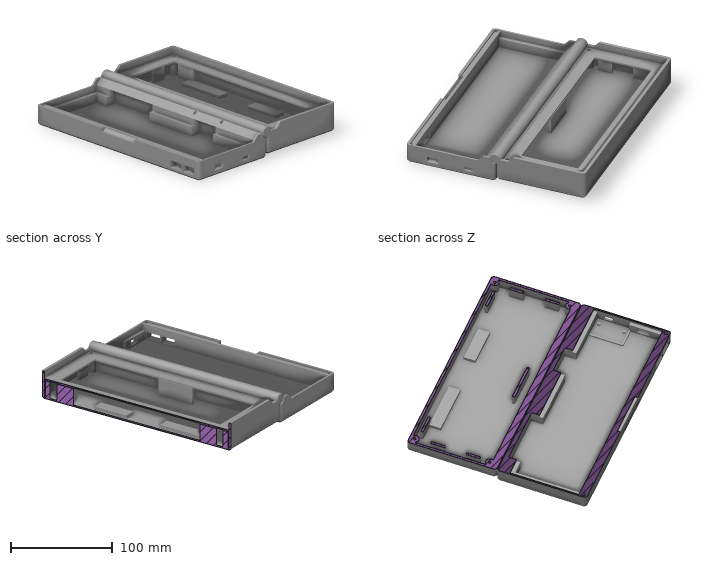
import cadquery as cq

case_width = 225.91
half_depth = 95.0
hinge_gap = 0.22
corner_radius = 3.5
bottom_chamfer = 2.0
half_width = case_width / 2
far_edge = hinge_gap + half_depth

hinge_radius = 6.0
step_height = 6.2
lid_top = hinge_radius
lid_bottom = -23.7
lid_floor = lid_bottom + 2.0
base_top = -step_height
base_bottom = -26.71
base_floor = base_bottom + 3.5

step_start = 13.3
step_end = step_start + 5.6

hinge_clearance = 0.5
lid_arm_width = 3.5
lid_arm_chamfer = 0.9
barrel_end = half_width - 43.0
knuckle_end = half_width - 51.8
cover_split = 18.7
lid_hinge_wall = 8.0
base_hinge_wall = 5.2
roof_foot = 13.6
roof_crest = roof_foot - step_height
cover_screw_xs = (21.4, 58.4)
cover_screw_y = -8.7
cover_screw_seat = -4.0
cover_screw_head = 3.5
cover_screw_bore = 2.0

lid_side_wall = 2.9
lid_end_wall = 3.0
lid_cavity_radius = 2.0
bezel_top = -2.0
bezel_thickness = 1.8
bezel_bottom = bezel_top - bezel_thickness
bezel_gap = 0.25
bezel_screw_x = 106.1
bezel_screw_ys = (10.0, 89.6)
bezel_screw_hole = 3.5
boss_diameter = 9.0
pilot_hole = 2.0
window_left = -96.1
window_right = 94.6
window_front = 20.0
window_back = 80.4
panel_half_width = 103.0
panel_front = 20.5
panel_back = 84.8
panel_rib = 3.0
back_rib_near = 75.2
back_rib_far = 95.5
side_rib_length = 15.0
side_rib_back_start = 58.0
front_rib_left = -21.0
front_rib_right = 19.0
pad_height = 3.5
pad_front = 72.8
pad_depth = 12.2
pad_spans = ((-78.7, -26.8), (12.8, 51.4))

base_side_wall = 2.0
base_front_wall = 3.0
front_rail_inner = -86.4
front_rail_drop = 0.6
front_groove_width = 0.8
front_groove_depth = 1.0
ledge_height = -13.2
support_front = 17.5
support_spans = ((-half_width + base_side_wall, -93.0), (-33.1, 25.2), (54.9, half_width - base_side_wall))
left_rail_width = 4.2
right_rail_width = 3.4
right_rail_start = -52.5
rail_screw_x = 109.3
rail_screw_y = -90.7
rail_screw_hole = 3.0
rail_screw_depth = 8.0

tray_left = 87.3
tray_back = -18.6
tray_front = -54.2
tray_rib = 1.6
tray_height = 2.0
tray_radius = 1.5
peg_x = 104.3
peg_ys = (-21.8, -48.7)
peg_diameter = 3.5
peg_height = 2.0

front_port_width = 15.8
front_port_xs = (80.8, 98.3)
front_port_bottom = -22.2
front_port_top = -14.8
side_ports = ((-33.6, -24.6, -21.2, -17.0), (-73.0, -61.0, -21.2, -15.3))
notch_left = -22.6
notch_right = 23.4
notch_depth = 6.0
notch_floor = -8.6
notch_front_floor = -10.5
notch_sill = 2.9
notch_radius = 1.5
notch_floor_fillet = 0.9


def box(x0, x1, y0, y1, z0, z1):
    size = cq.Workplane("XY").box(x1 - x0, y1 - y0, z1 - z0, centered=False)
    return size.translate((x0, y0, z0))


def upright(diameter, x, y, z0, z1):
    return cq.Workplane("XY").workplane(offset=z0).center(x, y).circle(diameter / 2).extrude(z1 - z0)


def hinge_rod(radius, x0, x1):
    return cq.Workplane("YZ").workplane(offset=x0).circle(radius).extrude(x1 - x0)


def side_profile(points, x0, x1):
    """Extrude a (y, z) outline along X."""
    return cq.Workplane("YZ").workplane(offset=x0).polyline(points).close().extrude(x1 - x0)


def tub(y0, y1, z0, z1):
    shell = box(-half_width, half_width, y0, y1, z0, z1)
    return shell.edges("|Z").fillet(corner_radius).faces("<Z").edges().chamfer(bottom_chamfer)


def make_lid():
    lid = tub(hinge_gap, far_edge, lid_bottom, lid_top)
    step = [(-1, 0), (step_start, 0), (step_end, lid_top), (step_end, lid_top + 1), (-1, lid_top + 1)]
    lid = lid.cut(side_profile(step, -half_width, half_width))

    cavity_x = half_width - lid_side_wall
    cavity = box(-cavity_x, cavity_x, lid_hinge_wall, far_edge - lid_end_wall, lid_floor, lid_top)
    lid = lid.cut(cavity.edges("|Z").fillet(lid_cavity_radius))
    lid = lid.cut(box(-cavity_x, cavity_x, 0, lid_hinge_wall, bezel_top, lid_top))
    for side in (-1, 1):
        ends = sorted((side * back_rib_near, side * back_rib_far))
        lid = lid.union(box(*ends, panel_back, panel_back + panel_rib, lid_floor, bezel_bottom))
        faces = sorted((side * panel_half_width, side * (panel_half_width + panel_rib)))
        for start in (panel_front, side_rib_back_start):
            lid = lid.union(box(*faces, start, start + side_rib_length, lid_floor, bezel_bottom))
    lid = lid.union(
        box(front_rib_left, front_rib_right, panel_front - panel_rib, panel_front, lid_floor, bezel_bottom)
    )
    for x0, x1 in pad_spans:
        lid = lid.union(box(x0, x1, pad_front, pad_front + pad_depth, lid_floor, lid_floor + pad_height))

    envelope = box(-cavity_x, cavity_x, lid_hinge_wall, far_edge - lid_end_wall, lid_floor, bezel_bottom)
    for x in (-bezel_screw_x, bezel_screw_x):
        for y in bezel_screw_ys:
            lid = lid.union(upright(boss_diameter, x, y, lid_floor, bezel_bottom).intersect(envelope))
            lid = lid.cut(upright(pilot_hole, x, y, lid_floor, bezel_bottom))

    arm_inner = half_width - lid_arm_width
    lid = lid.cut(hinge_rod(hinge_radius, -arm_inner, arm_inner))
    lid = lid.cut(hinge_rod(hinge_radius + hinge_clearance, -barrel_end, -knuckle_end))
    lid = lid.cut(hinge_rod(hinge_radius + hinge_clearance, cover_split, barrel_end))
    lid = lid.cut(box(-knuckle_end, cover_split, 0, lid_hinge_wall, -step_height, bezel_top))
    for side in (-1, 1):
        arm = hinge_rod(hinge_radius, arm_inner, half_width)
        arm = arm.faces(">X").edges().chamfer(lid_arm_chamfer)
        lid = lid.union(arm if side > 0 else arm.mirror("YZ"))
    return lid


def make_bezel():
    edge_x = half_width - lid_side_wall - bezel_gap
    y0 = lid_hinge_wall + bezel_gap
    y1 = far_edge - lid_end_wall - bezel_gap
    bezel = box(-edge_x, edge_x, y0, y1, bezel_bottom, bezel_top).edges("|Z").fillet(lid_cavity_radius)
    bezel = bezel.cut(box(window_left, window_right, window_front, window_back, bezel_bottom, bezel_top))
    for x in (-bezel_screw_x, bezel_screw_x):
        for y in bezel_screw_ys:
            bezel = bezel.cut(upright(bezel_screw_hole, x, y, bezel_bottom, bezel_top))
    return bezel


def roof_wedge(x0, x1):
    outline = [(-hinge_gap, 0), (-roof_crest, 0), (-roof_foot, -step_height), (-hinge_gap, -step_height)]
    return side_profile(outline, x0, x1)


def make_base():
    base = tub(-far_edge, -hinge_gap, base_bottom, 0)
    step = [(-step_start, 0), (-step_end, base_top), (-far_edge - 1, base_top), (-far_edge - 1, 1), (-step_start, 1)]
    base = base.cut(side_profile(step, -half_width, half_width))

    inner_x = half_width - base_side_wall
    front_inner = -far_edge + base_front_wall
    base = base.cut(box(-inner_x, inner_x, front_inner, -base_hinge_wall, base_floor, 0))

    base = base.union(roof_wedge(-inner_x, inner_x))
    for x0, x1 in support_spans:
        base = base.union(box(x0, x1, -roof_foot, -base_hinge_wall, base_floor, -step_height))
        base = base.union(box(x0, x1, -support_front, -roof_foot, base_floor, ledge_height))

    base = base.union(
        box(-inner_x, -inner_x + left_rail_width, front_inner, -support_front, base_floor, ledge_height)
    )
    base = base.union(
        box(inner_x - right_rail_width, inner_x, front_inner, right_rail_start, base_floor, ledge_height)
    )
    rail_top = base_top - front_rail_drop
    base = base.union(
        box(-inner_x, inner_x, front_inner, front_rail_inner, base_floor, rail_top)
    )
    groove_end = front_inner + front_groove_width
    base = base.cut(
        box(-inner_x, inner_x, front_inner, groove_end, rail_top - front_groove_depth, rail_top)
    )
    for x in (-rail_screw_x, rail_screw_x):
        base = base.cut(upright(rail_screw_hole, x, rail_screw_y, base_top - rail_screw_depth, base_top))

    tray_right = inner_x - right_rail_width
    rib = box(tray_left, tray_right, tray_front, tray_back, base_floor, base_floor + tray_height)
    rib = rib.edges("|Z and (<X or <Y)").fillet(tray_radius)
    inner = box(tray_left + tray_rib, tray_right, tray_front + tray_rib, tray_back, base_floor, 0)
    base = base.union(rib.cut(inner))
    for y in peg_ys:
        base = base.union(upright(peg_diameter, peg_x, y, base_floor, base_floor + peg_height))

    for x in front_port_xs:
        half = front_port_width / 2
        base = base.cut(
            box(x - half, x + half, -far_edge, front_rail_inner, front_port_bottom, front_port_top)
        )
    for y0, y1, z0, z1 in side_ports:
        base = base.cut(box(inner_x - right_rail_width, half_width, y0, y1, z0, z1))

    back = -far_edge + notch_depth
    sill = -far_edge + notch_sill
    notch = side_profile(
        [
            (-far_edge, base_top),
            (back, base_top),
            (back, notch_floor),
            (sill + notch_floor - notch_front_floor, notch_floor),
            (sill, notch_front_floor),
            (-far_edge, notch_front_floor),
        ],
        notch_left,
        notch_right,
    )
    notch = notch.edges("|Z and >Y").fillet(notch_radius)
    base = base.cut(notch.faces(">Y").edges("<Z").fillet(notch_floor_fillet))

    base = base.cut(hinge_rod(hinge_radius + hinge_clearance, -half_width, half_width))
    base = base.cut(roof_wedge(cover_split, knuckle_end))
    for x0, x1 in ((-barrel_end, -knuckle_end), (knuckle_end, barrel_end)):
        base = base.union(hinge_rod(hinge_radius, x0, x1)).union(roof_wedge(x0, x1))
    return base


def make_base_hinge_cover():
    cover = hinge_rod(hinge_radius, cover_split, knuckle_end).union(roof_wedge(cover_split, knuckle_end))
    for x in cover_screw_xs:
        cover = cover.cut(upright(cover_screw_head, x, cover_screw_y, cover_screw_seat, 0))
        cover = cover.cut(upright(cover_screw_bore, x, cover_screw_y, -step_height, 0))
    return cover


def make_lid_hinge_cover():
    strip = box(-knuckle_end, cover_split, hinge_gap, lid_hinge_wall, -step_height, bezel_top)
    return hinge_rod(hinge_radius, -knuckle_end, cover_split).union(strip)


def make_hinge_barrel(side):
    ends = sorted((side * barrel_end, side * (half_width - lid_arm_width)))
    return hinge_rod(hinge_radius, *ends)


lid = make_lid()
bezel = make_bezel()
base = make_base()
base_hinge_cover = make_base_hinge_cover()
lid_hinge_cover = make_lid_hinge_cover()
hinge_barrels = [make_hinge_barrel(side) for side in (-1, 1)]

result = cq.Compound.makeCompound(
    [body.val() for body in (lid, bezel, base, base_hinge_cover, lid_hinge_cover, *hinge_barrels)]
)